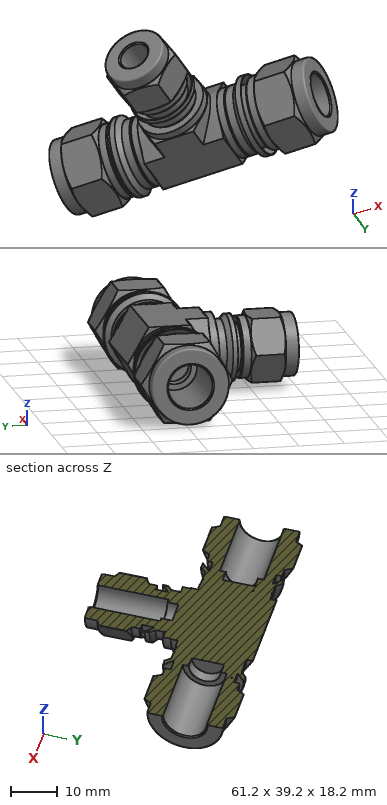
import cadquery as cq
import math


BODY_FLATS = 16.0
BODY_REACH = 9.5
SHANK_DIA = 15.8

CONE_START = 13.35
FLANGE_START = 14.45
COLLAR_START = 16.6
FLANGE_LIP = 0.2
NUT_START = 18.6
COLLAR_CHAMFER = 0.2
COLLAR_LEAD = 0.3
THREAD_CHAMFER = 0.2
THREAD_LEAD = 0.35
NUT_CHAMFER_ANGLE = 30
RIM_FILLET = 0.4
MOUTH_CHAMFER = 0.3
SOCKET_DEPTH = 15.9
PASSAGE_DEPTH = 2.45

MAIN_PORT = dict(
    shank_end=11.15,
    thread_dia=15.8,
    flange_dia=18.25,
    flange_end=15.8,
    neck_dia=14.25,
    collar_dia=16.8,
    nut_flats=17.5,
    nut_end=27.6,
    barrel_dia=17.0,
    reach=30.6,
    socket_dia=9.7,
    passage_dia=7.1,
)

BRANCH_PORT = dict(
    shank_end=11.3,
    thread_dia=12.6,
    flange_dia=14.7,
    flange_end=15.55,
    neck_dia=11.15,
    collar_dia=13.6,
    nut_flats=14.25,
    nut_end=26.25,
    barrel_dia=13.9,
    reach=29.1,
    socket_dia=6.55,
    passage_dia=4.85,
)


def corner_diameter(flats):
    """Across-corners size of a hexagon from its across-flats size."""
    return flats / math.cos(math.radians(30))


def hexagon_bar(flats, start, end):
    """Hexagonal bar along Z with corners on the X axis."""
    return (
        cq.Workplane("XY", origin=(0, 0, start))
        .polygon(6, corner_diameter(flats))
        .extrude(end - start)
    )


def revolve_profile(points):
    """Solid of revolution about Z from (radius, height) points."""
    return cq.Workplane("XZ").polyline(points).close().revolve(360, (0, 0), (0, 1))


def make_fitting(port):
    """Outside of one port along +Z: shank, thread, flange, neck and collar."""
    shank = SHANK_DIA / 2
    thread = port["thread_dia"] / 2
    flange = port["flange_dia"] / 2
    neck = port["neck_dia"] / 2
    collar = port["collar_dia"] / 2
    dish = flange - FLANGE_LIP
    dish_depth = dish - neck
    return revolve_profile([
        (0, 0),
        (shank, 0),
        (shank, port["shank_end"]),
        (thread - THREAD_CHAMFER, port["shank_end"]),
        (thread, port["shank_end"] + THREAD_LEAD),
        (thread, CONE_START),
        (flange, FLANGE_START),
        (flange, port["flange_end"]),
        (dish, port["flange_end"]),
        (neck, port["flange_end"] - dish_depth),
        (neck, COLLAR_START),
        (collar - COLLAR_CHAMFER, COLLAR_START),
        (collar, COLLAR_START + COLLAR_LEAD),
        (collar, NUT_START),
        (0, NUT_START),
    ])


def make_nut(port):
    """Hexagonal nut with chamfered corners and a round barrel at its outer end."""
    corner = corner_diameter(port["nut_flats"]) / 2
    barrel = port["barrel_dia"] / 2
    chamfer_height = (corner - barrel) * math.tan(math.radians(NUT_CHAMFER_ANGLE))
    envelope = revolve_profile([
        (0, NUT_START),
        (barrel, NUT_START),
        (corner, NUT_START + chamfer_height),
        (corner, port["nut_end"] - chamfer_height),
        (barrel, port["nut_end"]),
        (0, port["nut_end"]),
    ])
    hexagon = hexagon_bar(port["nut_flats"], NUT_START, port["nut_end"]).intersect(envelope)
    end_barrel = (
        cq.Workplane("XY", origin=(0, 0, NUT_START))
        .circle(barrel)
        .extrude(port["reach"] - NUT_START)
        .faces(">Z")
        .edges()
        .fillet(RIM_FILLET)
    )
    return hexagon.union(end_barrel)


def make_bore(port):
    """Blind stepped bore: chamfered mouth, tube socket and a narrower passage."""
    socket = port["socket_dia"] / 2
    passage = port["passage_dia"] / 2
    reach = port["reach"]
    socket_bottom = reach - SOCKET_DEPTH
    passage_bottom = socket_bottom - PASSAGE_DEPTH
    return revolve_profile([
        (0, passage_bottom),
        (passage, passage_bottom),
        (passage, socket_bottom),
        (socket, socket_bottom),
        (socket, reach - MOUTH_CHAMFER),
        (socket + MOUTH_CHAMFER, reach),
        (0, reach),
    ])


def make_outside(port):
    return make_fitting(port).union(make_nut(port))


def toward_x(shape, side):
    """Turn a shape built along +Z onto the X axis; side is +1 or -1."""
    return shape.rotate((0, 0, 0), (0, 0, 1), 90).rotate((0, 0, 0), (0, 1, 0), 90 * side)


def toward_branch(shape):
    """Turn a shape built along +Z onto the -Y axis."""
    return shape.rotate((0, 0, 0), (1, 0, 0), 90)


def body_bar(start, end, round_both):
    """Hexagonal bar along Z; its -X corner, or both X corners, is rounded tangent to the flats."""
    radius = BODY_FLATS / 2
    side_x = radius * math.tan(math.radians(30))
    tangent_x = radius * math.cos(math.radians(30))
    tangent_y = radius * math.sin(math.radians(30))
    outline = (
        cq.Workplane("XY", origin=(0, 0, start))
        .moveTo(side_x, radius)
        .lineTo(-side_x, radius)
        .lineTo(-tangent_x, tangent_y)
        .threePointArc((-radius, 0), (-tangent_x, -tangent_y))
        .lineTo(-side_x, -radius)
        .lineTo(side_x, -radius)
    )
    if round_both:
        outline = outline.lineTo(tangent_x, -tangent_y).threePointArc((radius, 0), (tangent_x, tangent_y))
    else:
        outline = outline.lineTo(corner_diameter(BODY_FLATS) / 2, 0)
    return outline.close().extrude(end - start)


run_bar = toward_x(body_bar(-BODY_REACH, BODY_REACH, round_both=False), 1)
branch_bar = toward_branch(body_bar(0, BODY_REACH, round_both=True))
tee = run_bar.union(branch_bar)

main_outside = make_outside(MAIN_PORT)
main_bore = make_bore(MAIN_PORT)
for side in (1, -1):
    tee = tee.union(toward_x(main_outside, side))
tee = tee.union(toward_branch(make_outside(BRANCH_PORT)))

for side in (1, -1):
    tee = tee.cut(toward_x(main_bore, side))
result = tee.cut(toward_branch(make_bore(BRANCH_PORT)))